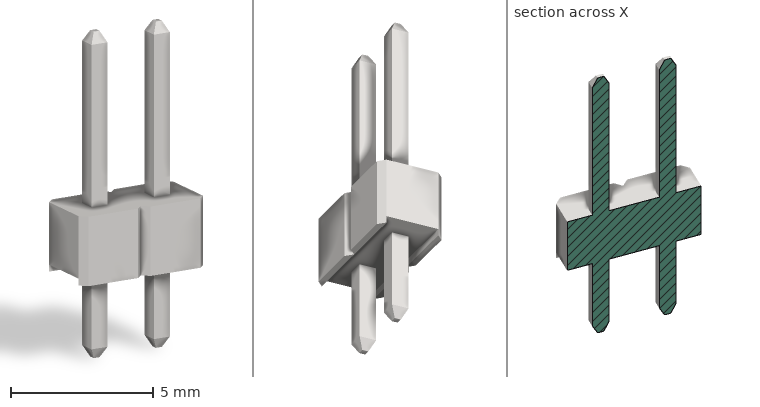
import cadquery as cq

pitch = 2.54
pin_count = 2
corner_chamfer = pitch / 10
channel_depth = pitch / 10
pin_width = 0.65
pin_above = 6.35
pin_below = 3.05
tip_width = 0.24
tip_height = 0.4

housing_length = pin_count * pitch
channel_width = pitch - 2 * corner_chamfer
pin_bottom = -pin_below
pin_top = pitch + pin_above
pin_positions = [(i - (pin_count - 1) / 2) * pitch for i in range(pin_count)]


def housing_block(y):
    """One square block with chamfered upright corners, standing on z = 0."""
    block = cq.Workplane("XY").box(pitch, pitch, pitch, centered=(True, True, False))
    return block.edges("|Z").chamfer(corner_chamfer).translate((0, y, 0))


def underside_channel():
    """Channel running the full length of the housing along Y."""
    return cq.Workplane("XY").box(
        channel_width, housing_length, channel_depth, centered=(True, True, False)
    )


def pin_tip(z, direction):
    """Square taper from the pin width to the tip width, pointing up (1) or down (-1)."""
    return (
        cq.Workplane("XY", origin=(0, 0, z))
        .rect(pin_width, pin_width)
        .workplane(offset=direction * tip_height)
        .rect(tip_width, tip_width)
        .loft(ruled=True)
    )


def pin(y):
    """Square pin with a tapered tip at each end."""
    shank_bottom = pin_bottom + tip_height
    shank_top = pin_top - tip_height
    shank = (
        cq.Workplane("XY", origin=(0, 0, shank_bottom))
        .rect(pin_width, pin_width)
        .extrude(shank_top - shank_bottom)
    )
    whole_pin = shank.union(pin_tip(shank_top, 1)).union(pin_tip(shank_bottom, -1))
    return whole_pin.translate((0, y, 0))


housing = cq.Workplane("XY")
for y in pin_positions:
    housing = housing.union(housing_block(y))
housing = housing.cut(underside_channel())

result = housing
for y in pin_positions:
    result = result.union(pin(y))